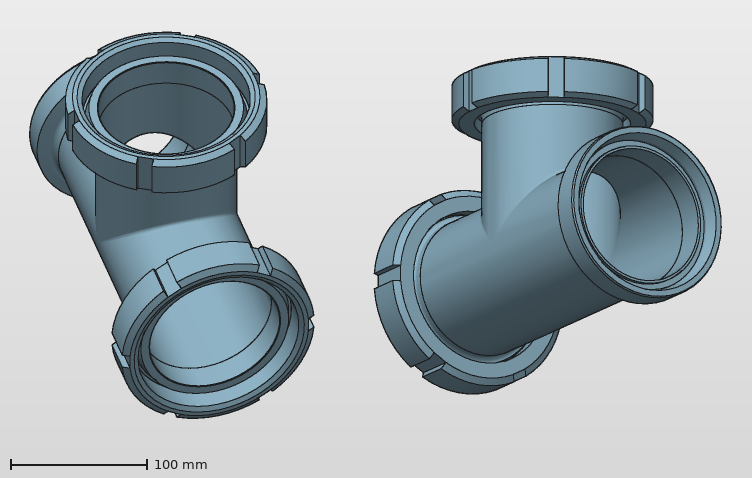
import cadquery as cq
pipe_outer_r = 104.0 / 2
pipe_bore_r = 100.0 / 2
arm_length = 99.5
corner_fillet = 2.5

nut_length = 31.2
nut_end = 131.3
nut_outer_r = 148.0 / 2
nut_end_r = 137.8 / 2
nut_chamfer_length = 3.0
nut_thread_r = 123.7 / 2
nut_mouth_r = 131.0 / 2
nut_mouth_depth = 2.0
nut_hole_r = 115.0 / 2
slot_count = 6
slot_width = 11.8
slot_floor = 68.6

seat_length = 9.2
seat_small_r = 113.7 / 2
seat_large_r = 119.5 / 2

male_end = 130.7
male_outer_r = 130.0 / 2
male_chamfer_length = 1.5
male_chamfer_depth = 0.8
male_floor_depth = 12.0
male_lip_depth = 9.2

liner_end = 120.3
bore_chamfer = 0.5

neck_start = 104.8
neck_end = 108.2
neck_end_r = 112.7 / 2
neck_rise_share = 0.3
neck_run_share = 0.7
flange_back = 110.5


nut_back = nut_end - nut_length
seat_bottom = male_end - seat_length
male_floor = male_end - male_floor_depth
male_lip = male_end - male_lip_depth
liner_ledge = liner_end - seat_length
neck_rise = neck_end_r - pipe_outer_r
neck_run = neck_end - neck_start
neck_middle = (pipe_outer_r + neck_rise_share * neck_rise, neck_start + neck_run_share * neck_run)


def along_plus_z(body):
    """Leave a body built along +Z where it is."""
    return body


def toward_plus_x(body):
    """Turn a body built along +Z so that it lies along +X."""
    return body.rotate((0, 0, 0), (0, 1, 0), 90)


def toward_minus_x(body):
    """Turn a body built along +Z so that it lies along -X."""
    return body.rotate((0, 0, 0), (0, 1, 0), -90)


def revolve_about_z(half_section):
    return half_section.close().revolve(360, (0, 0, 0), (0, 1, 0))


def neck_outline():
    """Start a half section at the bore and follow the weld end and the concave neck."""
    return (
        cq.Workplane("XZ")
        .moveTo(pipe_bore_r, arm_length)
        .lineTo(pipe_outer_r, arm_length)
        .lineTo(pipe_outer_r, neck_start)
        .threePointArc(neck_middle, (neck_end_r, neck_end))
    )


def tee_rod(radius):
    """Run and branch cylinders of one radius, with their common corner rounded."""
    run = cq.Workplane("YZ", origin=(-arm_length, 0, 0)).circle(radius).extrude(2 * arm_length)
    branch = cq.Workplane("XY").circle(radius).extrude(arm_length)
    rod = run.union(branch)
    corner_edges = rod.edges("%ELLIPSE").vals()
    return cq.Workplane(rod.val().fillet(corner_fillet, corner_edges))


def make_tee():
    return tee_rod(pipe_outer_r).cut(tee_rod(pipe_bore_r))


def make_male_end():
    section = (
        neck_outline()
        .lineTo(male_outer_r, flange_back)
        .lineTo(male_outer_r, male_end - male_chamfer_length)
        .lineTo(male_outer_r - male_chamfer_depth, male_end)
        .lineTo(seat_large_r, male_end)
        .lineTo(seat_small_r, seat_bottom)
        .lineTo(seat_small_r, male_floor)
        .lineTo(pipe_outer_r, male_floor)
        .lineTo(pipe_outer_r, male_lip)
        .lineTo(pipe_bore_r, male_lip)
    )
    return revolve_about_z(section)


def make_liner():
    section = (
        neck_outline()
        .lineTo(nut_hole_r, flange_back)
        .lineTo(nut_thread_r, flange_back)
        .lineTo(nut_thread_r, liner_ledge)
        .lineTo(seat_large_r, liner_ledge)
        .lineTo(seat_small_r, liner_end)
        .lineTo(pipe_bore_r + bore_chamfer, liner_end)
        .lineTo(pipe_bore_r, liner_end - bore_chamfer)
    )
    return revolve_about_z(section)


def make_nut():
    section = (
        cq.Workplane("XZ")
        .moveTo(nut_hole_r, nut_back)
        .lineTo(nut_end_r, nut_back)
        .lineTo(nut_outer_r, nut_back + nut_chamfer_length)
        .lineTo(nut_outer_r, nut_end - nut_chamfer_length)
        .lineTo(nut_end_r, nut_end)
        .lineTo(nut_mouth_r, nut_end)
        .lineTo(nut_thread_r, nut_end - nut_mouth_depth)
        .lineTo(nut_thread_r, flange_back)
        .lineTo(nut_hole_r, flange_back)
    )
    nut = revolve_about_z(section)
    slot_depth = nut_outer_r - slot_floor
    slot = cq.Workplane("XY").box(slot_width, 2 * slot_depth, nut_length, centered=(True, False, False))
    slot = slot.translate((0, slot_floor, nut_back))
    for index in range(slot_count):
        nut = nut.cut(slot.rotate((0, 0, 0), (0, 0, 1), index * 360 / slot_count))
    return nut


tee = make_tee()
male_end_piece = toward_minus_x(make_male_end())
liners = []
nuts = []
for place in (along_plus_z, toward_plus_x):
    liners.append(place(make_liner()).val())
    nuts.append(place(make_nut()).val())

result = cq.Compound.makeCompound([tee.val(), male_end_piece.val(), *liners, *nuts])